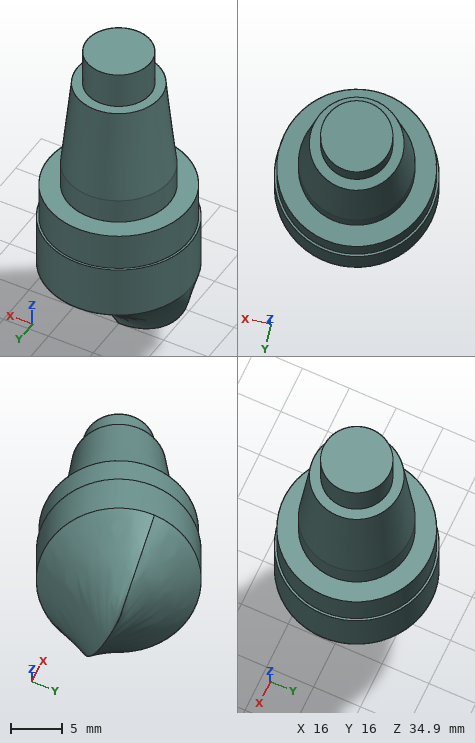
import cadquery as cq
import math

total_length = 34.9

tip_diameter = 16.0
tip_radius = tip_diameter / 2
tip_cylinder_height = 5.8

collar_diameter = 15.5
collar_height = 4.12
neck_diameter = 11.3
neck_height = 2.72
taper_top_diameter = 9.18
stud_diameter = 7.0
stud_height = 4.0

rim_z = tip_radius
joint_z = rim_z + tip_cylinder_height
collar_top_z = joint_z + collar_height
neck_top_z = collar_top_z + neck_height
taper_top_z = total_length - stud_height


def make_shank():
    """Revolved shank: collar, neck, taper and end stud."""
    return (
        cq.Workplane("XZ")
        .moveTo(0, joint_z)
        .lineTo(collar_diameter / 2, joint_z)
        .lineTo(collar_diameter / 2, collar_top_z)
        .lineTo(neck_diameter / 2, collar_top_z)
        .lineTo(neck_diameter / 2, neck_top_z)
        .lineTo(taper_top_diameter / 2, taper_top_z)
        .lineTo(stud_diameter / 2, taper_top_z)
        .lineTo(stud_diameter / 2, total_length)
        .lineTo(0, total_length)
        .close()
        .revolve(360, (0, 0, 0), (0, 1, 0))
    )


def make_pointed_end():
    """Solid between the round rim and a quarter-circle rib in the XZ plane.

    Each flank is a ruled surface: its straight lines join equal fractions of
    the rib and of one half of the rim.
    """
    rim_start = cq.Vector(-tip_radius, 0, rim_z)
    rim_end = cq.Vector(tip_radius, 0, rim_z)
    point = cq.Vector(0, 0, 0)
    diagonal = tip_radius * math.sqrt(0.5)
    rib_middle = cq.Vector(-diagonal, 0, rim_z - diagonal)
    rib = cq.Edge.makeThreePointArc(rim_start, rib_middle, point)

    flanks = []
    half_rims = []
    for side in (-1, 1):
        rim_middle = cq.Vector(0, side * tip_radius, rim_z)
        half_rim = cq.Edge.makeThreePointArc(rim_start, rim_middle, rim_end)
        half_rims.append(half_rim)
        flanks.append(cq.Face.makeRuledSurface(rib, half_rim))

    top = cq.Face.makeFromWires(cq.Wire.assembleEdges(half_rims))
    return cq.Solid.makeSolid(cq.Shell.makeShell([top, *flanks])).fix()


def make_tip():
    """Cylindrical head with the pointed end below it."""
    head = cq.Workplane("XY").workplane(offset=rim_z).circle(tip_radius).extrude(tip_cylinder_height)
    return head.union(cq.Workplane(obj=make_pointed_end())).solids()


shank = make_shank()
tip = make_tip()

result = cq.Compound.makeCompound([shank.val(), tip.val()])